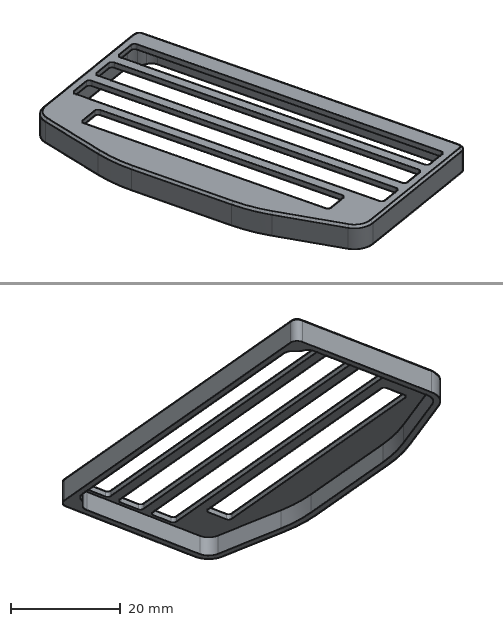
import cadquery as cq
import math

length = 71.85
width = 39.8
height = 5.0
front_flat = 30.0
front_taper = 5.8
back_corner_radius = 1.5
side_corner_radius = 4.0
front_blend_radius = 29.95
top_chamfer = 0.5

top_thickness = 1.15
wall = 1.3
post_radius = 2.9
post_inset = 1.0
post_fillet = 1.95

slot_width = 5.4
slot_pitch = 7.5
slot_radius = 0.7
long_slot_length = 67.8
short_slot_length = 54.2
slot_lengths = [long_slot_length, long_slot_length, long_slot_length, short_slot_length]
first_slot_margin = 4.25

half_length = length / 2
back_y = width / 2
front_y = -back_y
taper_y = front_y + front_taper


def body_outline():
    return [
        (-half_length, back_y),
        (half_length, back_y),
        (half_length, taper_y),
        (front_flat / 2, front_y),
        (-front_flat / 2, front_y),
        (-half_length, taper_y),
    ]


def round_upright_edges(solid, radius, x, y):
    """Round the upright edges at (x, y) and at its mirror image (-x, y)."""
    reach = 0.1
    for side in (-1, 1):
        box = cq.selectors.BoxSelector(
            (side * x - reach, y - reach, -height),
            (side * x + reach, y + reach, 2 * height),
        )
        solid = solid.edges("|Z").edges(box).fillet(radius)
    return solid


def rounded_prism(depth):
    prism = cq.Workplane("XY").polyline(body_outline()).close().extrude(depth)
    prism = round_upright_edges(prism, back_corner_radius, half_length, back_y)
    prism = round_upright_edges(prism, side_corner_radius, half_length, taper_y)
    return round_upright_edges(prism, front_blend_radius, front_flat / 2, front_y)


def underside_cavity():
    depth = height - top_thickness
    outer_wire = rounded_prism(depth).faces("<Z").wires().toPending()
    inner = outer_wire.offset2D(-wall).extrude(depth, combine=False)
    post_x = half_length - post_inset
    post_y = back_y - post_inset
    posts = (
        cq.Workplane("XY")
        .pushPoints([(-post_x, post_y), (post_x, post_y)])
        .circle(post_radius)
        .extrude(depth)
    )
    cavity = inner.cut(posts)
    inner_x = half_length - wall
    inner_y = back_y - wall
    reach_along_wall = math.sqrt(post_radius**2 - (wall - post_inset) ** 2)
    cavity = round_upright_edges(cavity, post_fillet, post_x - reach_along_wall, inner_y)
    return round_upright_edges(cavity, post_fillet, inner_x, post_y - reach_along_wall)


def strap_slot(slot_length, center_y):
    slot = cq.Workplane("XY").box(slot_length, slot_width, height, centered=(True, True, False))
    return slot.edges("|Z").fillet(slot_radius).translate((0, center_y, 0))


result = rounded_prism(height).faces(">Z").chamfer(top_chamfer)
result = result.cut(underside_cavity())

first_slot_y = back_y - first_slot_margin - slot_width / 2
for index, slot_length in enumerate(slot_lengths):
    result = result.cut(strap_slot(slot_length, first_slot_y - index * slot_pitch))